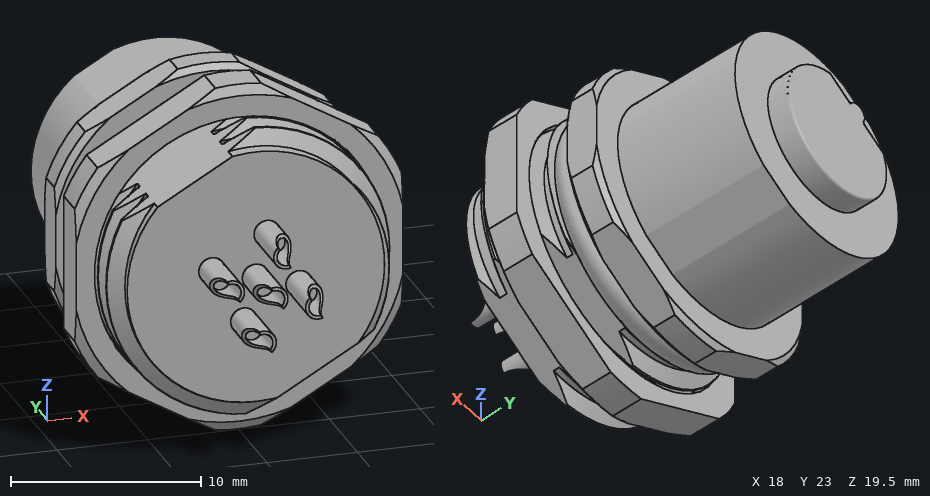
import cadquery as cq
import math


pin_length = 3.5
thread_length = 6.0
seal_width = 2.0
flange_width = 2.0
barrel_length = 8.0
insert_length = 1.5

seal_start = thread_length
flange_start = seal_start + seal_width
barrel_start = flange_start + flange_width
insert_start = barrel_start + barrel_length

key_angle = 120
half_across_flats = 6.65

root_radius = 7.05
crest_radius = 7.91
thread_pitch = 1.5
ridge_base_width = 1.1
ridge_crest_width = 0.14
thread_lead_in = 0.2
thread_turns = 5
runout_start_angle = key_angle - 180
runout_angle = 100
runout_end_scale = 0.06
runout_steps = 4
thread_embed = 0.18

seal_neck_radius = 6.76
barrel_radius = 6.76
flange_across_flats = 17.0
flange_corner_radius = 9.0
flange_face_radius = 8.62
hex_chamfer_height = 0.28

insert_radius = 4.05
insert_flat_distance = 3.13
insert_corner_fillet = 0.14
insert_end_fillet = 0.15
key_radius = 0.6
key_center_distance = 3.31
key_foot_fillet = 0.2

pin_radius = 0.71
pin_circle_radius = 2.48
first_pin_angle = 75
cup_radius = 0.53
cup_depth = 2.0
cup_cut_radius = 2.0
cup_cut_offset = -0.14
cup_cut_angle = key_angle - 90

nut_start = 2.75
nut_width = 2.23
nut_across_flats = 18.0
nut_corner_radius = 9.75
nut_face_radius = 9.2
nut_hole_radius = 8.0


def end_plane(y):
    """Workplane across the axis at y: its x is +X, its y is +Z and it extrudes towards -Y."""
    return cq.Workplane("XZ", origin=(0, y, 0))


def cylinder(radius, start, length):
    return end_plane(start + length).circle(radius).extrude(length)


def turn(solid, angle):
    """Turn a solid about the axis, from +X towards +Z."""
    return solid.rotate((0, 0, 0), (0, -1, 0), angle)


def chamfered_hexagon(across_flats, corner_radius, face_radius, start, width, both_faces):
    """Hexagon with corners at +-Z, rounded to corner_radius and chamfered at its end faces."""
    prism = (
        end_plane(start + width)
        .polygon(6, across_flats, circumscribed=True)
        .extrude(width)
    )
    end = start + width
    profile = cq.Workplane("XY").moveTo(0, start).lineTo(face_radius, start)
    profile = profile.lineTo(corner_radius, start + hex_chamfer_height)
    if both_faces:
        profile = profile.lineTo(corner_radius, end - hex_chamfer_height).lineTo(face_radius, end)
    else:
        profile = profile.lineTo(corner_radius, end)
    envelope = profile.lineTo(0, end).close().revolve(360, (0, 0, 0), (0, 1, 0))
    return prism.intersect(envelope)


def ridge_outline(scale):
    """Points (radius, offset along the axis) of the ridge section, shrunk towards the root."""
    ridge_height = crest_radius - root_radius
    flank_slope = (ridge_base_width - ridge_crest_width) / 2 / ridge_height
    tip_radius = root_radius + scale * ridge_height
    foot_radius = root_radius - thread_embed
    half_tip = scale * ridge_crest_width / 2
    half_foot = half_tip + flank_slope * (tip_radius - foot_radius)
    return [
        (foot_radius, -half_foot),
        (tip_radius, -half_tip),
        (tip_radius, half_tip),
        (foot_radius, half_foot),
    ]


def full_ridge():
    """Right-handed ridge that winds up +Z and ends where the run-out begins."""
    turns = thread_turns + runout_start_angle / 360
    path = cq.Wire.makeHelix(thread_pitch, turns * thread_pitch, root_radius)
    ridge = cq.Workplane("XZ").polyline(ridge_outline(1)).close()
    ridge = ridge.sweep(cq.Workplane(path), isFrenet=True)
    return ridge.translate((0, 0, -thread_lead_in - thread_turns * thread_pitch))


def ridge_runout():
    """Last stretch of the ridge, which sinks evenly into the root."""
    sections = []
    for step in range(runout_steps + 1):
        fraction = step / runout_steps
        angle = runout_start_angle + fraction * runout_angle
        scale = 1 + fraction * (runout_end_scale - 1)
        height = -thread_lead_in + thread_pitch * angle / 360
        cosine = math.cos(math.radians(angle))
        sine = math.sin(math.radians(angle))
        corners = [
            cq.Vector(radius * cosine, radius * sine, height + offset)
            for radius, offset in ridge_outline(scale)
        ]
        sections.append(cq.Wire.makePolygon(corners, close=True))
    return cq.Workplane(cq.Solid.makeLoft(sections))


def between_flats(solid):
    """Cut the two parallel flats along a solid."""
    for angle in (key_angle, key_angle + 180):
        beyond_flat = (
            end_plane(insert_start)
            .center(half_across_flats + crest_radius, 0)
            .rect(2 * crest_radius, 4 * crest_radius)
            .extrude(insert_start)
        )
        solid = solid.cut(turn(beyond_flat, angle))
    return solid


def threaded_shank():
    shank = cylinder(root_radius, 0, thread_length)
    envelope = cylinder(2 * crest_radius, 0, thread_length)
    for ridge in (full_ridge(), ridge_runout()):
        laid_over = ridge.rotate((0, 0, 0), (1, 0, 0), 90)
        shank = shank.union(laid_over.intersect(envelope))
    return between_flats(shank)


def barrel():
    return between_flats(cylinder(barrel_radius, barrel_start, barrel_length))


def seal_ring():
    """Half-round seal ring on its neck, between the thread and the flange."""
    return (
        cq.Workplane("XY")
        .moveTo(0, seal_start)
        .lineTo(-seal_neck_radius, seal_start)
        .threePointArc(
            (-seal_neck_radius - seal_width / 2, seal_start + seal_width / 2),
            (-seal_neck_radius, flange_start),
        )
        .lineTo(0, flange_start)
        .close()
        .revolve(360, (0, 0, 0), (0, 1, 0))
    )


def insert():
    """Round insert with a flat that carries a rounded key, made with the key towards +X."""
    end = insert_start + insert_length
    flat_cut = (
        end_plane(end)
        .center(insert_flat_distance + insert_radius, 0)
        .rect(2 * insert_radius, 4 * insert_radius)
        .extrude(insert_length)
    )
    body = cylinder(insert_radius, insert_start, insert_length).cut(flat_cut)
    body = body.edges("|Y").edges(">X").fillet(insert_corner_fillet)
    key = end_plane(end).center(key_center_distance, 0).circle(key_radius).extrude(insert_length)
    body = body.union(key)
    foot = cq.selectors.BoxSelector(
        (0, insert_start, -key_radius),
        (key_center_distance, end, key_radius),
    )
    body = body.edges("|Y").edges(foot).fillet(key_foot_fillet)
    body = body.faces(">Y").edges().fillet(insert_end_fillet)
    return turn(body, key_angle)


def solder_pin(x, z, opening_angle):
    """Pin with a solder cup at its tip, cut away by an arc on the side of opening_angle."""
    pin = cylinder(pin_radius, -pin_length, pin_length)
    pin = pin.cut(cylinder(cup_radius, -pin_length, cup_depth))
    cut_away = (
        cq.Workplane("XY", origin=(cup_cut_offset + cup_cut_radius, -pin_length, 0))
        .circle(cup_cut_radius)
        .extrude(2 * pin_radius, both=True)
    )
    return turn(pin.cut(cut_away), opening_angle).translate((x, 0, z))


def solder_pins():
    """Middle pin and four pins around it, opening towards or away from cup_cut_angle."""
    pins = [solder_pin(0, 0, cup_cut_angle + 180)]
    for index in range(4):
        angle = math.radians(first_pin_angle + 90 * index)
        x = pin_circle_radius * math.cos(angle)
        z = pin_circle_radius * math.sin(angle)
        opening_angle = cup_cut_angle if x > 0 else cup_cut_angle + 180
        pins.append(solder_pin(x, z, opening_angle))
    return pins


def make_connector():
    connector = threaded_shank().union(seal_ring()).union(barrel())
    connector = connector.union(
        chamfered_hexagon(
            flange_across_flats, flange_corner_radius, flange_face_radius,
            flange_start, flange_width, both_faces=True,
        )
    )
    connector = connector.union(insert())
    for pin in solder_pins():
        connector = connector.union(pin)
    return connector


def make_nut():
    blank = chamfered_hexagon(
        nut_across_flats, nut_corner_radius, nut_face_radius,
        nut_start, nut_width, both_faces=False,
    )
    return blank.cut(cylinder(nut_hole_radius, nut_start, nut_width))


connector = make_connector()
nut = make_nut()
result = cq.Compound.makeCompound([connector.val(), nut.val()])